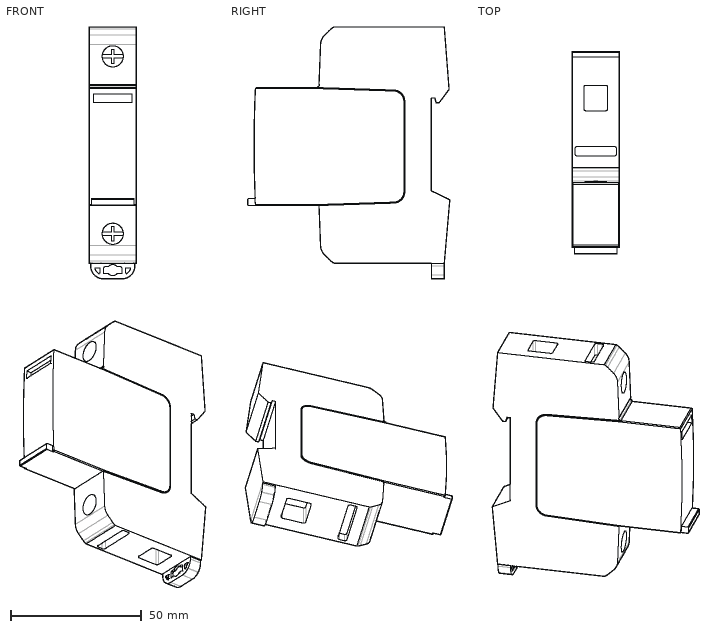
import cadquery as cq

width = 18.0
height = 96.2
base_bottom = 6.0
base_middle = (base_bottom + height) / 2
base_half = (height - base_bottom) / 2
base_rear = 75.2
base_front = 27.2
base_front_end = 27.9
bevel_front_half = 40.5
bevel_front_radius = 5.2
bevel_facets = [(33.1, 0), (32.6, 0.2), (31.8, 0.9)]

rail_face = 70.15
upper_hook_rear = 77.0
upper_hook_corner = 72.4
hook_tip_bottom = 67.2
hook_tip_rear = 73.1
hook_tip_front = 72.0
rail_top = 69.0
rail_top_rear = 71.5
rail_bottom = 33.7
lower_hook_rear = 77.3
lower_hook_corner = 30.2

module_front = 3.0
module_bulge = 0.6
module_rear = 60.0
module_top = 73.0
module_bottom = 28.0
module_middle = (module_top + module_bottom) / 2
module_taper = 1.1
module_rear_radius = 4.3
module_chamfer = 0.4

window_width = 14.7
window_height = 3.3
window_middle = 69.0
window_depth = 1.9

lip_width = 16.4
lip_height = 2.7
lip_chamfer = 0.3

seam_top = 74.3
seam_waist = 73.9
seam_notch = 0.3
seam_ledge = 73.3
seam_ledge_lip = 0.4
seam_foot_lip = 0.7

screw_offset = 33.9
screw_radius = 4.0
screw_depth = 38.5
recess_depth = 0.8
slot_height = 1.25
cross_width = 1.1
cross_height = 5.4

wire_width = 9.1
wire_length = 9.7
wire_middle = 59.6
wire_radius = 0.8
wire_depth = 11.5
marker_width = 15.9
marker_length = 3.6
marker_middle = 39.3
marker_radius = 0.9
marker_depth = 4.8

foot_width = 16.9
foot_bevel = 2.9
foot_radius = 4.8
foot_middle = 3.4
latch_width = 7.0
latch_height = 2.7
latch_corner = 0.5
latch_radius = 2.1
foot_pocket_depth = 1.0
ear_inner = 4.8
ear_outer = 6.7
ear_top = 4.1
ear_side = 3.7
ear_low = 1.9
ear_bulge = 6.2
ear_bulge_height = 2.8


def block(x_size, y_start, y_end, z_middle, z_size):
    """Box centred on X, between two Y positions."""
    return (
        cq.Workplane("XY")
        .box(x_size, y_end - y_start, z_size)
        .translate((0, (y_start + y_end) / 2, z_middle))
    )


def fillet_near(body, corner, radius):
    """Round the full-width edge closest to a (Y, Z) corner."""
    return body.edges("|X").edges(cq.NearestToPointSelector((0, *corner))).fillet(radius)


def make_base():
    bevel_front = (base_front_end, base_middle + bevel_front_half)
    lower_bevel_front = (base_front_end, base_middle - bevel_front_half)
    upper_facets = [(y, height - drop) for y, drop in bevel_facets]
    lower_facets = [(y, base_bottom + drop) for y, drop in reversed(bevel_facets)]
    outline = [
        (base_rear, height),
        *upper_facets,
        bevel_front,
        (base_front, seam_top),
        (base_front + seam_notch, seam_waist),
        (base_front - seam_ledge_lip, seam_ledge),
        (base_front - seam_foot_lip, module_top),
        (base_front, module_top),
        (base_front, module_bottom),
        lower_bevel_front,
        *lower_facets,
        (base_rear, base_bottom),
        (lower_hook_rear, lower_hook_corner),
        (rail_face, rail_bottom),
        (rail_face, rail_top),
        (rail_top_rear, rail_top),
        (hook_tip_front, hook_tip_bottom),
        (hook_tip_rear, hook_tip_bottom),
        (upper_hook_rear, upper_hook_corner),
    ]
    base = cq.Workplane("YZ").polyline(outline).close().extrude(width / 2, both=True)
    for corner in (bevel_front, lower_bevel_front):
        base = fillet_near(base, corner, bevel_front_radius)
    return base


def make_module_blank():
    rear_top = (module_rear, module_top - module_taper)
    rear_bottom = (module_rear, module_bottom + module_taper)
    blank = (
        cq.Workplane("YZ")
        .moveTo(module_front, module_bottom)
        .threePointArc((module_front - module_bulge, module_middle), (module_front, module_top))
        .lineTo(base_front, module_top)
        .lineTo(*rear_top)
        .lineTo(*rear_bottom)
        .lineTo(base_front, module_bottom)
        .close()
        .extrude(width / 2, both=True)
    )
    for corner in (rear_top, rear_bottom):
        blank = fillet_near(blank, corner, module_rear_radius)
    return blank


def make_module(blank):
    """Module with its outline chamfered, except along the upright front edges, and a window."""
    front_face = blank.faces("<Y")
    upright_edges = front_face.edges("not |X").vals()
    outline_edges = blank.faces("<X or >X").edges().vals()
    side_edges = [edge for edge in outline_edges if edge not in upright_edges]
    front_edges = front_face.edges("|X").vals()
    module = blank.newObject(side_edges + front_edges).chamfer(module_chamfer)
    window = block(window_width, 0, module_front + window_depth, window_middle, window_height)
    return module.cut(window)


def make_lip():
    lip = block(lip_width, 0, module_front + module_chamfer, module_bottom + lip_height / 2, lip_height)
    return lip.faces("<Y").edges("|X").chamfer(lip_chamfer)


def make_terminal_hole(z):
    """Screw hole with a slotted cross recess in the screw head at its end."""
    hole = (
        cq.Workplane("XZ", origin=(0, screw_depth, z))
        .circle(screw_radius)
        .extrude(screw_depth)
    )
    recess_end = screw_depth + recess_depth
    slot = block(2 * screw_radius, screw_depth, recess_end, z, slot_height)
    head = hole.translate((0, recess_depth, 0))
    cross = block(cross_width, screw_depth, recess_end, z, cross_height)
    return hole.union(slot.intersect(head)).union(cross)


def make_end_opening(x_size, y_size, y_middle, radius, depth):
    """Matching rounded openings in the top and bottom faces."""
    opening = (
        cq.Workplane("XY")
        .box(x_size, y_size, depth)
        .edges("|Z")
        .fillet(radius)
    )
    offset = base_half - depth / 2
    upper = opening.translate((0, y_middle, base_middle + offset))
    lower = opening.translate((0, y_middle, base_middle - offset))
    return upper.union(lower)


def make_foot():
    half = foot_width / 2
    foot_top = base_bottom + foot_radius
    plan = [
        (-half, foot_top),
        (-half, foot_bevel),
        (foot_bevel - half, 0),
        (half - foot_bevel, 0),
        (half, foot_bevel),
        (half, foot_top),
    ]
    foot = (
        cq.Workplane("XZ", origin=(0, base_rear, 0))
        .polyline(plan)
        .close()
        .extrude(base_rear - rail_face)
        .edges("|Y and (not >Z)")
        .fillet(foot_radius)
    )
    pocket_end = rail_face + foot_pocket_depth
    latch = (
        block(latch_width, rail_face, pocket_end, foot_middle, latch_height)
        .edges("|Y and >Z")
        .chamfer(latch_corner)
    )
    boss = (
        cq.Workplane("XZ", origin=(0, pocket_end, foot_middle))
        .circle(latch_radius)
        .extrude(foot_pocket_depth)
    )
    ear = (
        cq.Workplane("XZ", origin=(0, pocket_end, 0))
        .moveTo(ear_inner, ear_top)
        .lineTo(ear_outer, ear_top)
        .lineTo(ear_outer, ear_side)
        .threePointArc((ear_bulge, ear_bulge_height), (ear_inner + latch_corner, ear_low))
        .lineTo(ear_inner, ear_low + latch_corner)
        .close()
        .extrude(foot_pocket_depth)
    )
    return foot.cut(latch).cut(boss).cut(ear).cut(ear.mirror("YZ"))


module_blank = make_module_blank()
result = make_base()
for side in (1, -1):
    result = result.cut(make_terminal_hole(base_middle + side * screw_offset))
result = result.cut(make_end_opening(wire_width, wire_length, wire_middle, wire_radius, wire_depth))
result = result.cut(make_end_opening(marker_width, marker_length, marker_middle, marker_radius, marker_depth))
result = result.cut(module_blank).union(make_module(module_blank)).union(make_lip())
result = result.union(make_foot())